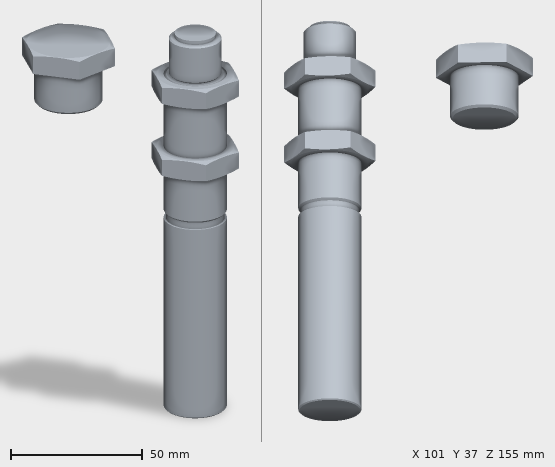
import cadquery as cq
import math

TOTAL_HEIGHT = 155
PLUG_OFFSET = 70.0

BARREL_DIAMETER = 24.0
BARREL_TOP_CHAMFER = 1.0
FOOT_CHAMFER = 0.5
GROOVE_DIAMETER = 22.3
GROOVE_BOTTOM = 78.5
GROOVE_TOP = 81.0
GROOVE_CHAMFER = (BARREL_DIAMETER - GROOVE_DIAMETER) / 2

HEAD_DIAMETER = 20.0
HEAD_EDGE_DIAMETER = 18.9
HEAD_CHAMFER = (HEAD_DIAMETER - HEAD_EDGE_DIAMETER) / 2
HEAD_HEIGHT = 15.3
BUTTON_DIAMETER = 15.7
BUTTON_HEIGHT = 1.5
BARREL_TOP = TOTAL_HEIGHT - BUTTON_HEIGHT - HEAD_HEIGHT

NUT_WIDTH = 30.0
NUT_HEIGHT = 8.0
NUT_FACE_DIAMETER = 29.3
NUT_SPACING = 29.9
NUT_COUNT = 2

PLUG_WIDTH = 32.0
PLUG_HEAD_HEIGHT = 8.0
PLUG_FACE_DIAMETER = 31.5
SHANK_DIAMETER = 26.0
SHANK_CHAMFER = 1.0
PLUG_HEIGHT = 25.0
PLUG_TOP = 129.0

CORNER_ANGLE = 15

HEXAGON_HALF_ANGLE = 30


def hexagon(width, height, base):
    """Hexagonal prism with flats facing +X and -X, and corners on the Y axis."""
    corner_diameter = width / math.cos(math.radians(HEXAGON_HALF_ANGLE))
    prism = cq.Workplane("XY").polygon(6, corner_diameter).extrude(height)
    return prism.rotate((0, 0, 0), (0, 0, 1), HEXAGON_HALF_ANGLE).translate((0, 0, base))


def corner_cone(width, face_diameter, face_height, direction):
    """Cone widening from a round face along Z (direction +1 or -1), far past the corners."""
    face_radius = face_diameter / 2
    rise = width * math.tan(math.radians(CORNER_ANGLE))
    profile = [
        (0, face_height),
        (face_radius, face_height),
        (face_radius + width, face_height + direction * rise),
        (0, face_height + direction * rise),
    ]
    return cq.Workplane("XZ").polyline(profile).close().revolve(360, (0, 0), (0, 1))


def make_housing():
    """Barrel with a groove chamfered on its upper side, and chamfered ends."""
    radius = BARREL_DIAMETER / 2
    groove_radius = GROOVE_DIAMETER / 2
    profile = [
        (0, 0),
        (radius - FOOT_CHAMFER, 0),
        (radius, FOOT_CHAMFER),
        (radius, GROOVE_BOTTOM),
        (groove_radius, GROOVE_BOTTOM),
        (groove_radius, GROOVE_TOP),
        (radius, GROOVE_TOP + GROOVE_CHAMFER),
        (radius, BARREL_TOP - BARREL_TOP_CHAMFER),
        (radius - BARREL_TOP_CHAMFER, BARREL_TOP),
        (0, BARREL_TOP),
    ]
    return cq.Workplane("XZ").polyline(profile).close().revolve(360, (0, 0), (0, 1))


def make_head():
    """Cylinder chamfered at both ends, with a thin round button on top."""
    head = cq.Workplane("XY").circle(HEAD_DIAMETER / 2).extrude(HEAD_HEIGHT)
    head = head.faces("<Z or >Z").chamfer(HEAD_CHAMFER)
    head = head.faces(">Z").workplane().circle(BUTTON_DIAMETER / 2).extrude(BUTTON_HEIGHT)
    return head.translate((0, 0, BARREL_TOP))


def make_nut(top):
    """Hexagon nut with chamfered corners on both faces and a bore fitting the barrel."""
    bottom = top - NUT_HEIGHT
    nut = hexagon(NUT_WIDTH, NUT_HEIGHT, bottom)
    nut = nut.intersect(corner_cone(NUT_WIDTH, NUT_FACE_DIAMETER, top, -1))
    nut = nut.intersect(corner_cone(NUT_WIDTH, NUT_FACE_DIAMETER, bottom, 1))
    bore = cq.Workplane("XY").circle(BARREL_DIAMETER / 2).extrude(NUT_HEIGHT)
    return nut.cut(bore.translate((0, 0, bottom)))


def make_plug():
    """Hexagon head, chamfered on top, above a round shank chamfered at its tip."""
    head = hexagon(PLUG_WIDTH, PLUG_HEAD_HEIGHT, PLUG_TOP - PLUG_HEAD_HEIGHT)
    head = head.intersect(corner_cone(PLUG_WIDTH, PLUG_FACE_DIAMETER, PLUG_TOP, -1))
    shank_length = PLUG_HEIGHT - PLUG_HEAD_HEIGHT
    shank = cq.Workplane("XY").circle(SHANK_DIAMETER / 2).extrude(shank_length)
    shank = shank.faces("<Z").chamfer(SHANK_CHAMFER)
    plug = head.union(shank.translate((0, 0, PLUG_TOP - PLUG_HEIGHT)))
    return plug.translate((-PLUG_OFFSET, 0, 0))


housing = make_housing()
head = make_head()
nuts = [make_nut(BARREL_TOP - i * NUT_SPACING) for i in range(NUT_COUNT)]
plug = make_plug()

result = cq.Compound.makeCompound(
    [housing.val(), head.val(), *[nut.val() for nut in nuts], plug.val()]
)